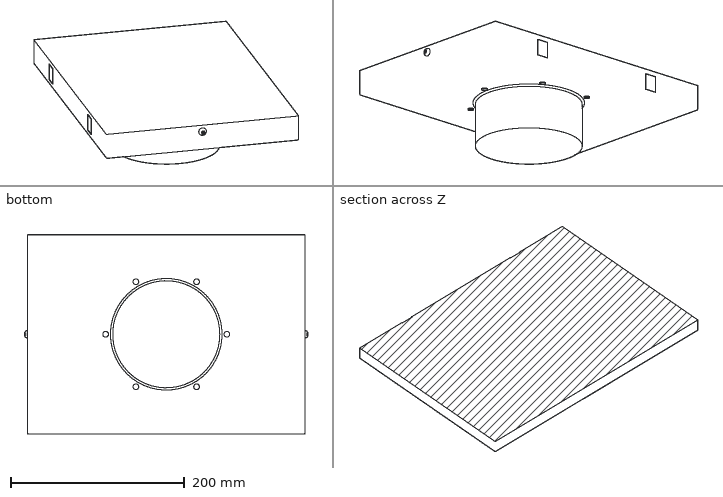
import cadquery as cq
import math

OVERALL_LENGTH = 326.5
PANEL_LENGTH = 320.0
PANEL_WIDTH = 230.0
PANEL_HEIGHT = 30.5
OVERALL_HEIGHT = 83.3
CORNER_RADIUS = 1.0
BOTTOM_RADIUS = 2.0

SPIGOT_DIAMETER = 123.5
COLLAR_DIAMETER = 128.5
COLLAR_HEIGHT = 2.0

FLANGE_SCREW_COUNT = 6
FLANGE_SCREW_CIRCLE_RADIUS = 70.0
FLANGE_SCREW_DIAMETER = 6.5
FLANGE_SCREW_HEIGHT = 1.0

SIDE_SCREW_DIAMETER = 9.0
SIDE_SCREW_TIP_DIAMETER = 4.0
SIDE_SCREW_DROP = 7.8
SOCKET_DIAMETER = 2.5
SOCKET_DEPTH = 1.5

RECESS_WIDTH = 15.0
RECESS_HEIGHT = 19.0
RECESS_DEPTH = 0.5
RECESS_OFFSET = 85.2

SIDE_SCREW_HEIGHT = (OVERALL_LENGTH - PANEL_LENGTH) / 2
PANEL_BOTTOM = -PANEL_HEIGHT


def make_panel():
    """Flat panel with rounded corners and a rounded bottom rim."""
    return (
        cq.Workplane("XY")
        .workplane(offset=PANEL_BOTTOM)
        .rect(PANEL_LENGTH, PANEL_WIDTH)
        .extrude(PANEL_HEIGHT)
        .edges("|Z")
        .fillet(CORNER_RADIUS)
        .faces("<Z")
        .edges()
        .fillet(BOTTOM_RADIUS)
    )


def hanging_disc(diameter, height):
    """Disc hanging down from the panel underside."""
    return cq.Workplane("XY").workplane(offset=PANEL_BOTTOM).circle(diameter / 2).extrude(-height)


def make_spigot():
    """Round duct spigot with a thin conical collar where it meets the panel."""
    collar_radius = COLLAR_DIAMETER / 2
    spigot_radius = SPIGOT_DIAMETER / 2
    profile = [
        (0, PANEL_BOTTOM),
        (collar_radius, PANEL_BOTTOM),
        (spigot_radius, PANEL_BOTTOM - COLLAR_HEIGHT),
        (spigot_radius, -OVERALL_HEIGHT),
        (0, -OVERALL_HEIGHT),
    ]
    return cq.Workplane("XZ").polyline(profile).close().revolve(360, (0, 0, 0), (0, 1, 0))


def make_flange_screw(index):
    """One low screw head of the ring around the spigot."""
    angle = 2 * math.pi * index / FLANGE_SCREW_COUNT
    x = FLANGE_SCREW_CIRCLE_RADIUS * math.cos(angle)
    y = FLANGE_SCREW_CIRCLE_RADIUS * math.sin(angle)
    return hanging_disc(FLANGE_SCREW_DIAMETER, FLANGE_SCREW_HEIGHT).translate((x, y, 0))


def make_side_screw(side):
    """Domed button head with a round socket, on the +X (side = 1) or -X (side = -1) end."""
    base_radius = SIDE_SCREW_DIAMETER / 2
    tip_radius = SIDE_SCREW_TIP_DIAMETER / 2
    socket_radius = SOCKET_DIAMETER / 2
    start = PANEL_LENGTH / 2
    tip = start + SIDE_SCREW_HEIGHT
    socket_floor = tip - SOCKET_DEPTH
    dome_centre = ((tip**2 + tip_radius**2) - (start**2 + base_radius**2)) / (2 * (tip - start))
    dome_radius = math.hypot(start - dome_centre, base_radius)
    middle_radius = (base_radius + tip_radius) / 2
    dome_middle = (dome_centre + math.sqrt(dome_radius**2 - middle_radius**2), middle_radius)
    head = (
        cq.Workplane("XY")
        .moveTo(start, 0)
        .lineTo(start, base_radius)
        .threePointArc(dome_middle, (tip, tip_radius))
        .lineTo(tip, socket_radius)
        .lineTo(socket_floor, socket_radius)
        .lineTo(socket_floor, 0)
        .close()
        .revolve(360, (0, 0, 0), (1, 0, 0))
        .translate((0, 0, -SIDE_SCREW_DROP))
    )
    return head if side > 0 else head.mirror("YZ")


def make_recess(side):
    """Shallow rectangular pocket in the -Y face."""
    return cq.Workplane("XY").box(RECESS_WIDTH, 2 * RECESS_DEPTH, RECESS_HEIGHT).translate(
        (side * RECESS_OFFSET, -PANEL_WIDTH / 2, -PANEL_HEIGHT / 2)
    )


result = make_panel().union(make_spigot())
for screw_index in range(FLANGE_SCREW_COUNT):
    result = result.union(make_flange_screw(screw_index))
for panel_side in (-1, 1):
    result = result.union(make_side_screw(panel_side))
    result = result.cut(make_recess(panel_side))